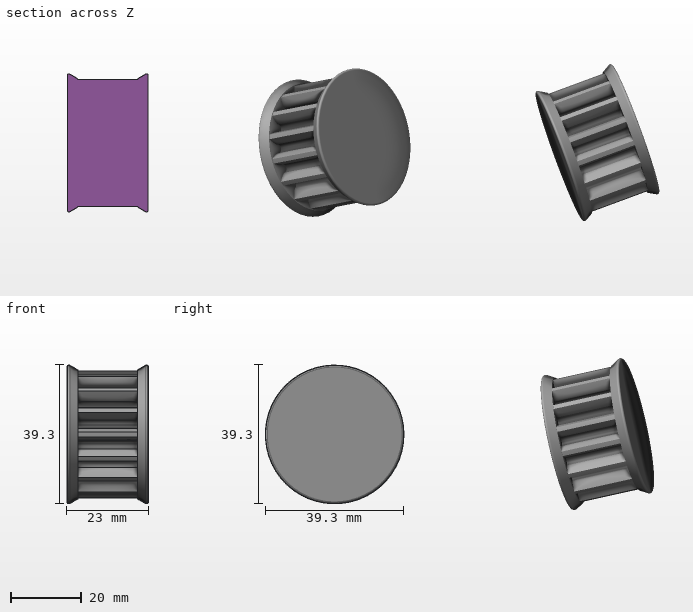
import cadquery as cq
import math


total_length = 23.0
flange_diameter = 39.27

flange_thickness = 3.02
rim_radius = 0.5
bevel_angle = math.radians(30)

tooth_count = 16
tip_diameter = 36.0
pressure_angle = math.radians(20)
addendum_factor = 1
dedendum_factor = 1.25
root_land_width = 0.27
involute_steps = 6

module = tip_diameter / (tooth_count + 2 * addendum_factor)
tip_radius = tip_diameter / 2
pitch_radius = module * tooth_count / 2
root_radius = pitch_radius - dedendum_factor * module
base_radius = pitch_radius * math.cos(pressure_angle)
gear_length = total_length - 2 * flange_thickness
tooth_pitch = 2 * math.pi / tooth_count


def involute(angle):
    """Angle swept by an involute at the given pressure angle."""
    return math.tan(angle) - angle


def polar(radius, angle):
    """Point at a radius and angle about the origin."""
    return (radius * math.cos(angle), radius * math.sin(angle))


base_half_angle = tooth_pitch / 4 + involute(pressure_angle)
root_half_angle = tooth_pitch / 2 - root_land_width / 2 / root_radius


def flank_points(centre, side):
    """Involute from the base circle to the tip; side is -1 or +1 about the tooth centre."""
    roll_at_tip = math.sqrt((tip_radius / base_radius) ** 2 - 1)
    points = []
    for step in range(involute_steps + 1):
        roll = roll_at_tip * step / involute_steps
        radius = base_radius * math.hypot(1, roll)
        half_angle = base_half_angle - involute(math.atan(roll))
        points.append(polar(radius, centre + side * half_angle))
    return points


def root_arc_middle(centre, side):
    """Middle of the arc that touches the root circle and ends where the involute starts."""
    offset = root_half_angle - base_half_angle
    along, across = polar(base_radius, offset)
    rise = along - root_radius
    radius = (rise ** 2 + across ** 2) / (2 * rise)
    half_sweep = math.atan2(rise, across)
    middle_along = root_radius + radius * (1 - math.cos(half_sweep))
    middle_across = radius * math.sin(half_sweep)
    middle_offset = math.atan2(middle_across, middle_along)
    return polar(
        math.hypot(middle_along, middle_across),
        centre + side * (root_half_angle - middle_offset),
    )


def gear():
    """Teeth with involute flanks, blended into the root circle by arcs."""
    outline = cq.Workplane("YZ", origin=(-gear_length / 2, 0, 0))
    outline = outline.moveTo(*polar(root_radius, -root_half_angle))
    for tooth in range(tooth_count):
        centre = tooth * tooth_pitch
        rising = flank_points(centre, -1)
        falling = flank_points(centre, 1)[::-1]
        root_end = polar(root_radius, centre + root_half_angle)
        outline = (
            outline.threePointArc(root_arc_middle(centre, -1), rising[0])
            .spline(rising[1:], includeCurrent=True)
            .threePointArc(polar(tip_radius, centre), falling[0])
            .spline(falling[1:], includeCurrent=True)
            .threePointArc(root_arc_middle(centre, 1), root_end)
        )
        gap_centre = centre + tooth_pitch / 2
        next_root = polar(root_radius, centre + tooth_pitch - root_half_angle)
        outline = outline.threePointArc(polar(root_radius, gap_centre), next_root)
    return outline.close().extrude(gear_length)


def left_flange():
    """Disc with its flat face outward, a rounded rim and a bevel that narrows towards the gear."""
    face_radius = flange_diameter / 2 - rim_radius
    outer_x = -total_length / 2
    inner_x = outer_x + flange_thickness
    rim_end_angle = math.pi / 2 - bevel_angle
    rim_centre_x = outer_x + rim_radius

    def on_rim(angle):
        dx, dr = polar(rim_radius, angle)
        return (rim_centre_x + dx, face_radius + dr)

    rim_end = on_rim(rim_end_angle)
    neck_radius = rim_end[1] - (inner_x - rim_end[0]) * math.tan(bevel_angle)
    return (
        cq.Workplane("XY")
        .moveTo(outer_x, 0)
        .lineTo(outer_x, face_radius)
        .threePointArc(on_rim(math.pi / 2), rim_end)
        .lineTo(inner_x, neck_radius)
        .lineTo(inner_x, 0)
        .close()
        .revolve(360, (0, 0, 0), (1, 0, 0))
    )


flange = left_flange()
result = gear().union(flange).union(flange.mirror("YZ"))